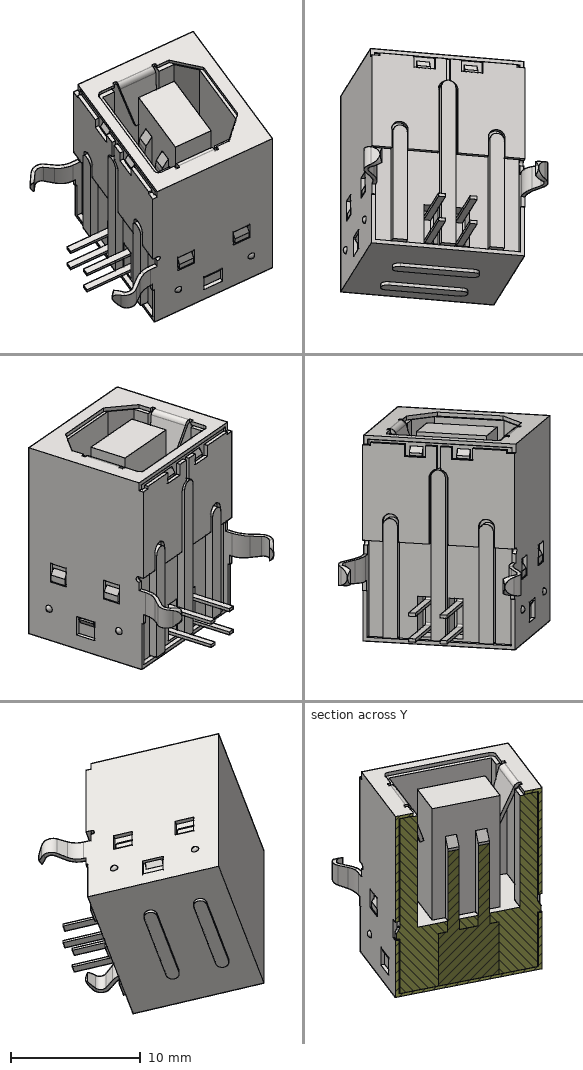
import cadquery as cq
import math


SHEET = 0.31
SHELL_WIDTH = 12.13
SHELL_HEIGHT = 16.22
PLATE_FRONT = -10.7
LID_FRONT = -10.3
FLOOR_FRONT = -10.55
WALL_FOOT_TOP = 4.03
PLATE_TOP = 15.75
PLATE_CORNER_TOP = 15.55
PLATE_CORNER_X = 5.43
PLATE_BOTTOM = 8.0
SEAM_WIDTH = 0.33
CLEAR = 1.65

SHELL_X = SHELL_WIDTH / 2
INNER_X = SHELL_X - SHEET
LID_UNDERSIDE = SHELL_HEIGHT - SHEET

CENTRE_SLOT_WIDTH = 1.52
CENTRE_SLOT_TOP = 13.96
SIDE_SLOT_WIDTH = 1.29
SIDE_SLOT_TOP = 10.21
RIB_WIDTH = 1.15
RIB_FRONT = -10.8
RIB_BOTTOM = 0.41
CENTRE_RIB_TOP = 13.93
SIDE_RIB_TOP = 9.87
SIDE_RIB_X = 3.83

PLATE_NOTCH_WIDTH = 1.68
PLATE_NOTCH_BOTTOM = 14.82
PLATE_NOTCH_X = 1.88
CATCH_WIDTH = 1.02
CATCH_BOTTOM = 14.87
CATCH_EDGE = 15.08
CATCH_TOP = 15.56
CATCH_FRONT = -10.43

TAIL_BOTTOM = 4.83
TAIL_TOP = 6.83
TAIL_ROOT = -9.9
TAIL_BEND_START = -10.89
TAIL_OUT_ANGLE = math.radians(40)
TAIL_IN_ANGLE = math.radians(54)
TAIL_OUT_RADIUS = 1.82
TAIL_OUT_LENGTH = 0.87
TAIL_IN_RADIUS = 0.87
TAIL_TIP_LENGTH = 0.78
TAIL_TIP = -14.44
TAIL_TAPER_START = -11.55
TAIL_TAPER_END = -13.76
TAIL_END_HEIGHT = 1.58
WALL_RELIEF_RADIUS = 0.23
WALL_RELIEF_Y = -10.25

OPENING_X = 4.57
OPENING_BACK = -1.09
OPENING_FRONT = -9.47
OPENING_BACK_X = 2.6
OPENING_CHAMFER_END = -3.02
OPENING_CORNER = 0.4

SPRING_X = 4.7
SPRING_BACK = -4.4
SPRING_FRONT = -7.59
SPRING_BEND_RADIUS = 0.5
SPRING_ANGLE = math.radians(70)
SPRING_TIP_X = 2.94
SPRING_TIP_BACK = -5.02
SPRING_TIP_FRONT = -6.95
SPRING_RELIEF_X = 4.83
SPRING_RELIEF = 0.3

WINDOW_WIDTH = 1.48
WINDOW_BOTTOM = 5.12
WINDOW_TOP = 6.73
WINDOW_BACKS = [-2.01, -6.96]
LOW_WINDOW_BACK = -4.47
LOW_WINDOW_WIDTH = 1.67
LOW_WINDOW_BOTTOM = 1.22
LOW_WINDOW_TOP = 2.8

DIMPLE_YS = [-1.9, -8.42]
DIMPLE_Z = 2.74
DIMPLE_RADIUS = 0.3
DIMPLE_HEIGHT = 0.21
FOOT_LENGTH = 6.86
FOOT_WIDTH = 1.04
FOOT_HEIGHT = 0.28
FOOT_YS = [-2.43, -6.42]

HOUSING_GAP = 0.05
HOUSING_X = INNER_X - HOUSING_GAP
HOUSING_TOP = LID_UNDERSIDE
HOUSING_FRONT = -10.15
CAVITY_FLOOR = 5.94
CAVITY_X = 4.22
CAVITY_BACK = -1.35
CAVITY_FRONT = -9.14
CAVITY_BACK_X = 2.77
CAVITY_CHAMFER_END = -2.8
SPRING_POCKET_X = 5.12
SPRING_POCKET_BACK = -4.12
SPRING_POCKET_FRONT = -8.12
TONGUE_WIDTH = 5.61
TONGUE_BACK = -3.58
TONGUE_FRONT = -6.76

LATCH_PROUD = 0.3
LATCH_WIDTH = 1.27
LATCH_BACK_GAP = 0.03
LATCH_BOTTOM = 5.15
LATCH_EDGE = 5.7
LATCH_TOP = 6.19
LOW_LATCH_BACK = -4.59
LOW_LATCH_WIDTH = 1.35
LOW_LATCH_BOTTOM = 2.16
LOW_LATCH_TOP = 2.6

BLOCK_X = 2.48
BLOCK_BACK = -1.98
BLOCK_FRONT = -8.58
BLOCK_TOP = 4.95
CONTACT_X = 1.25
CONTACT_SLOT_WIDTH = 1.09
CONTACT_SLOT_BOTTOM = 0.53
CONTACT_SLOT_TOP = 3.7
BLADE_WIDTH = 0.92
BLADE_DEPTH = 0.6
BLADE_TIP = 13.2
BLADE_RAMP_END = 12.38
BLADE_LIP = 0.07
BLADE_LIP_END = 11.88
PIN_WIDTH = 0.55
PIN_THICKNESS = 0.26
PIN_END = -13.91
UPPER_PIN_BOTTOM = 2.97
LOWER_PIN_BOTTOM = 0.94
PIN_BEND = 0.18


def block(x_range, y_range, z_range):
    """Box between two X, two Y and two Z values, each pair in either order."""
    lows = [min(r) for r in (x_range, y_range, z_range)]
    sizes = [abs(r[1] - r[0]) for r in (x_range, y_range, z_range)]
    return cq.Workplane("XY").box(*sizes, centered=False).translate(tuple(lows))


def mirrored_pair(shape):
    """The shape and its mirror image across X = 0."""
    return shape.union(shape.mirror("YZ"))


def round_top_bar(x, width, bottom, top, front, back):
    """Upright bar along Z with a half-round top, between two Y faces."""
    half = width / 2
    return (
        cq.Workplane("XZ", origin=(x, back, 0))
        .moveTo(-half, bottom)
        .lineTo(half, bottom)
        .lineTo(half, top - half)
        .threePointArc((0, top), (-half, top - half))
        .close()
        .extrude(back - front)
    )


def rib_bars(centre_width, side_width, centre_top, side_top, bottom, front, back):
    """One tall centre bar and two shorter side bars."""
    bars = round_top_bar(0, centre_width, bottom, centre_top, front, back)
    for x in (-SIDE_RIB_X, SIDE_RIB_X):
        bars = bars.union(round_top_bar(x, side_width, bottom, side_top, front, back))
    return bars


def eight_sided_outline(half_width, back, front, back_half_width, chamfer_end):
    """Rectangle in plan with its two back corners cut off, drawn on Z = 0."""
    return cq.Workplane("XY").polyline([
        (-half_width, front),
        (half_width, front),
        (half_width, chamfer_end),
        (back_half_width, back),
        (-back_half_width, back),
        (-half_width, chamfer_end),
    ]).close()


def lid_opening():
    opening = eight_sided_outline(
        OPENING_X, OPENING_BACK, OPENING_FRONT, OPENING_BACK_X, OPENING_CHAMFER_END
    ).extrude(SHEET + CLEAR)
    opening = opening.edges("|Z and <Y").fillet(OPENING_CORNER)
    opening = opening.translate((0, 0, LID_UNDERSIDE))
    lid_range = (LID_UNDERSIDE, SHELL_HEIGHT + CLEAR)
    opening = opening.union(block((-SPRING_X, SPRING_X), (SPRING_BACK, SPRING_FRONT), lid_range))
    for start, end in [
        (SPRING_BACK, SPRING_BACK + SPRING_RELIEF),
        (SPRING_FRONT, SPRING_FRONT - SPRING_RELIEF),
    ]:
        opening = opening.union(block((-SPRING_RELIEF_X, SPRING_RELIEF_X), (start, end), lid_range))
    return opening


def spring_finger():
    """Finger at -X: folded down from the lid, then sloping inwards and narrowing to its tip."""
    inner_radius = SPRING_BEND_RADIUS - SHEET
    bend_z = SHELL_HEIGHT - SPRING_BEND_RADIUS

    def bend_point(radius, angle):
        return (-SPRING_X + radius * math.sin(angle), bend_z + radius * math.cos(angle))

    outer_end = bend_point(SPRING_BEND_RADIUS, SPRING_ANGLE)
    fold = (
        cq.Workplane("XZ", origin=(0, SPRING_BACK, 0))
        .moveTo(-SPRING_X - SHEET, SHELL_HEIGHT)
        .lineTo(-SPRING_X, SHELL_HEIGHT)
        .threePointArc(bend_point(SPRING_BEND_RADIUS, SPRING_ANGLE / 2), outer_end)
        .lineTo(*bend_point(inner_radius, SPRING_ANGLE))
        .threePointArc(bend_point(inner_radius, SPRING_ANGLE / 2), bend_point(inner_radius, 0))
        .lineTo(-SPRING_X - SHEET, LID_UNDERSIDE)
        .close()
        .extrude(SPRING_BACK - SPRING_FRONT)
    )

    leaf_length = (-SPRING_TIP_X - outer_end[0]) / math.cos(SPRING_ANGLE)
    leaf_plane = cq.Plane(
        origin=(outer_end[0], 0, outer_end[1]),
        xDir=(math.cos(SPRING_ANGLE), 0, -math.sin(SPRING_ANGLE)),
        normal=(math.sin(SPRING_ANGLE), 0, math.cos(SPRING_ANGLE)),
    )
    leaf = cq.Workplane(leaf_plane).polyline([
        (0, SPRING_BACK),
        (leaf_length, SPRING_TIP_BACK),
        (leaf_length, SPRING_TIP_FRONT),
        (0, SPRING_FRONT),
    ]).close().extrude(-SHEET)
    return fold.union(leaf)


def tail():
    """Board-lock tail at -X: bends outwards, then back inwards, and narrows to a round tip."""
    out_centre = (-SHELL_X - TAIL_OUT_RADIUS, TAIL_BEND_START)

    def out_point(radius, angle):
        return (out_centre[0] + radius * math.cos(angle), out_centre[1] - radius * math.sin(angle))

    out_run = TAIL_OUT_LENGTH * math.sin(TAIL_OUT_ANGLE)
    out_drop = TAIL_OUT_LENGTH * math.cos(TAIL_OUT_ANGLE)
    out_end = out_point(TAIL_OUT_RADIUS, TAIL_OUT_ANGLE)
    in_centre = (
        out_end[0] - out_run + TAIL_IN_RADIUS * math.cos(TAIL_OUT_ANGLE),
        out_end[1] - out_drop - TAIL_IN_RADIUS * math.sin(TAIL_OUT_ANGLE),
    )

    def in_point(radius, angle):
        return (in_centre[0] - radius * math.cos(angle), in_centre[1] - radius * math.sin(angle))

    def tip_point(radius):
        x, y = in_point(radius, TAIL_IN_ANGLE)
        return (
            x + TAIL_TIP_LENGTH * math.sin(TAIL_IN_ANGLE),
            y - TAIL_TIP_LENGTH * math.cos(TAIL_IN_ANGLE),
        )

    out_inner = TAIL_OUT_RADIUS + SHEET
    in_inner = TAIL_IN_RADIUS - SHEET
    strip = (
        cq.Workplane("XY", origin=(0, 0, TAIL_BOTTOM))
        .moveTo(-SHELL_X, TAIL_ROOT)
        .lineTo(-SHELL_X, TAIL_BEND_START)
        .threePointArc(out_point(TAIL_OUT_RADIUS, TAIL_OUT_ANGLE / 2), out_end)
        .lineTo(*in_point(TAIL_IN_RADIUS, -TAIL_OUT_ANGLE))
        .threePointArc(in_point(TAIL_IN_RADIUS, 0), in_point(TAIL_IN_RADIUS, TAIL_IN_ANGLE))
        .lineTo(*tip_point(TAIL_IN_RADIUS))
        .lineTo(*tip_point(in_inner))
        .lineTo(*in_point(in_inner, TAIL_IN_ANGLE))
        .threePointArc(in_point(in_inner, 0), in_point(in_inner, -TAIL_OUT_ANGLE))
        .lineTo(*out_point(out_inner, TAIL_OUT_ANGLE))
        .threePointArc(out_point(out_inner, TAIL_OUT_ANGLE / 2), out_point(out_inner, 0))
        .lineTo(-INNER_X, TAIL_ROOT)
        .close()
        .extrude(TAIL_TOP - TAIL_BOTTOM)
    )
    middle = (TAIL_TOP + TAIL_BOTTOM) / 2
    end_half = TAIL_END_HEIGHT / 2
    side_outline = (
        cq.Workplane("YZ", origin=(-SHELL_WIDTH, 0, 0))
        .moveTo(TAIL_ROOT, TAIL_BOTTOM)
        .lineTo(TAIL_TAPER_START, TAIL_BOTTOM)
        .lineTo(TAIL_TAPER_END, middle - end_half)
        .threePointArc((TAIL_TIP, middle), (TAIL_TAPER_END, middle + end_half))
        .lineTo(TAIL_TAPER_START, TAIL_TOP)
        .lineTo(TAIL_ROOT, TAIL_TOP)
        .close()
        .extrude(SHELL_WIDTH)
    )
    return strip.intersect(side_outline)


def dimple(y):
    """Ball at the -X wall whose cap stands out of it."""
    radius = (DIMPLE_RADIUS**2 + DIMPLE_HEIGHT**2) / (2 * DIMPLE_HEIGHT)
    return cq.Workplane("XY").sphere(radius).translate((-SHELL_X - DIMPLE_HEIGHT + radius, y, DIMPLE_Z))


def make_shell():
    across = (-SHELL_X - CLEAR, SHELL_X + CLEAR)
    beyond = PLATE_FRONT - CLEAR
    above = SHELL_HEIGHT + CLEAR
    shell = block((-SHELL_X, SHELL_X), (0, PLATE_FRONT), (0, SHELL_HEIGHT))
    for y in DIMPLE_YS:
        shell = shell.union(mirrored_pair(dimple(y)))

    inside_x = (-INNER_X, INNER_X)
    shell = shell.cut(block(inside_x, (-SHEET, PLATE_FRONT + SHEET), (SHEET, LID_UNDERSIDE)))
    shell = shell.cut(block(inside_x, (-SHEET, beyond), (SHEET, PLATE_BOTTOM)))

    shell = shell.cut(block(across, (LID_FRONT, beyond), (PLATE_TOP, above)))
    corner = block((-PLATE_CORNER_X, across[0]), (LID_FRONT, beyond), (PLATE_CORNER_TOP, above))
    shell = shell.cut(mirrored_pair(corner))
    shell = shell.cut(block(across, (FLOOR_FRONT, beyond), (-CLEAR, WALL_FOOT_TOP)))

    shell = shell.cut(block(across, (LID_FRONT, beyond), (TAIL_TOP, PLATE_BOTTOM)))
    relief = (
        cq.Workplane("YZ", origin=(across[0], 0, 0))
        .center(WALL_RELIEF_Y, PLATE_BOTTOM - WALL_RELIEF_RADIUS)
        .circle(WALL_RELIEF_RADIUS)
        .extrude(across[1] - across[0])
    )
    shell = shell.cut(relief)

    plate_back = PLATE_FRONT + SHEET
    shell = shell.cut(rib_bars(
        CENTRE_SLOT_WIDTH, SIDE_SLOT_WIDTH, CENTRE_SLOT_TOP, SIDE_SLOT_TOP, PLATE_BOTTOM, beyond, plate_back
    ))
    seam_base = CENTRE_SLOT_TOP - CENTRE_SLOT_WIDTH / 2
    shell = shell.cut(
        block((-SEAM_WIDTH / 2, SEAM_WIDTH / 2), (plate_back, beyond), (seam_base, PLATE_TOP))
    )
    notch = block(
        (-PLATE_NOTCH_WIDTH / 2, PLATE_NOTCH_WIDTH / 2),
        (plate_back, beyond),
        (PLATE_NOTCH_BOTTOM, PLATE_TOP),
    ).translate((-PLATE_NOTCH_X, 0, 0))
    shell = shell.cut(mirrored_pair(notch))

    for back in WINDOW_BACKS:
        shell = shell.cut(block(across, (back, back - WINDOW_WIDTH), (WINDOW_BOTTOM, WINDOW_TOP)))
    low_window_y = (LOW_WINDOW_BACK, LOW_WINDOW_BACK - LOW_WINDOW_WIDTH)
    shell = shell.cut(block(across, low_window_y, (LOW_WINDOW_BOTTOM, LOW_WINDOW_TOP)))

    shell = shell.cut(lid_opening())
    shell = shell.union(mirrored_pair(spring_finger()))
    shell = shell.union(mirrored_pair(tail()))
    for y in FOOT_YS:
        foot = cq.Workplane("XY").center(0, y).slot2D(FOOT_LENGTH, FOOT_WIDTH).extrude(-FOOT_HEIGHT)
        shell = shell.union(foot)
    return shell


def side_latch(outline, back, width):
    """Latch on the -X side: an outline of (height proud, Z) points, extruded along Y."""
    points = [(-HOUSING_X - proud, z) for proud, z in outline]
    return cq.Workplane("XZ", origin=(0, back, 0)).polyline(points).close().extrude(width)


def housing_latches():
    upper = [(0, LATCH_BOTTOM), (LATCH_PROUD, LATCH_BOTTOM), (LATCH_PROUD, LATCH_EDGE), (0, LATCH_TOP)]
    low = [(0, LOW_LATCH_BOTTOM), (LATCH_PROUD, LOW_LATCH_TOP), (0, LOW_LATCH_TOP)]
    latches = side_latch(low, LOW_LATCH_BACK, LOW_LATCH_WIDTH)
    for back in WINDOW_BACKS:
        latches = latches.union(side_latch(upper, back - LATCH_BACK_GAP, LATCH_WIDTH))
    return mirrored_pair(latches)


def front_catch():
    """Wedge on the housing front that stands in the notch of the front plate at -X."""
    return (
        cq.Workplane("YZ", origin=(-PLATE_NOTCH_X - CATCH_WIDTH / 2, 0, 0))
        .polyline([
            (HOUSING_FRONT, CATCH_BOTTOM),
            (CATCH_FRONT, CATCH_BOTTOM),
            (CATCH_FRONT, CATCH_EDGE),
            (HOUSING_FRONT, CATCH_TOP),
        ])
        .close()
        .extrude(CATCH_WIDTH)
    )


def make_housing():
    housing = block((-HOUSING_X, HOUSING_X), (-SHEET, HOUSING_FRONT), (SHEET, HOUSING_TOP))

    cavity = eight_sided_outline(
        CAVITY_X, CAVITY_BACK, CAVITY_FRONT, CAVITY_BACK_X, CAVITY_CHAMFER_END
    ).extrude(HOUSING_TOP - CAVITY_FLOOR).translate((0, 0, CAVITY_FLOOR))
    cavity = cavity.union(block(
        (-SPRING_POCKET_X, SPRING_POCKET_X),
        (SPRING_POCKET_BACK, SPRING_POCKET_FRONT),
        (CAVITY_FLOOR, HOUSING_TOP),
    ))
    housing = housing.cut(cavity)
    tongue_x = (-TONGUE_WIDTH / 2, TONGUE_WIDTH / 2)
    housing = housing.union(block(tongue_x, (TONGUE_BACK, TONGUE_FRONT), (BLOCK_TOP, HOUSING_TOP)))

    housing = housing.cut(block((-BLOCK_X, BLOCK_X), (BLOCK_BACK, BLOCK_FRONT), (SHEET, BLOCK_TOP)))
    blade_x = (CONTACT_X - BLADE_WIDTH / 2, CONTACT_X + BLADE_WIDTH / 2)
    for face, outer in [
        (TONGUE_BACK, TONGUE_BACK + BLADE_DEPTH),
        (TONGUE_FRONT, TONGUE_FRONT - BLADE_DEPTH),
    ]:
        housing = housing.cut(mirrored_pair(block(blade_x, (face, outer), (BLOCK_TOP, CAVITY_FLOOR))))
    slot_x = (CONTACT_X - CONTACT_SLOT_WIDTH / 2, CONTACT_X + CONTACT_SLOT_WIDTH / 2)
    pin_slot = block(slot_x, (BLOCK_FRONT, HOUSING_FRONT), (CONTACT_SLOT_BOTTOM, CONTACT_SLOT_TOP))
    housing = housing.cut(mirrored_pair(pin_slot))

    housing = housing.union(rib_bars(
        RIB_WIDTH, RIB_WIDTH, CENTRE_RIB_TOP, SIDE_RIB_TOP, RIB_BOTTOM, RIB_FRONT, HOUSING_FRONT
    ))
    housing = housing.union(mirrored_pair(front_catch()))
    return housing.union(housing_latches())


def contact_blade(face, outward):
    """Upright blade against a tongue face, its ramped tip leaning away from the tongue."""
    outer = face + outward * BLADE_DEPTH
    return (
        cq.Workplane("YZ", origin=(CONTACT_X - BLADE_WIDTH / 2, 0, 0))
        .polyline([
            (face, BLOCK_TOP),
            (outer, BLOCK_TOP),
            (outer, BLADE_LIP_END),
            (outer - outward * BLADE_LIP, BLADE_RAMP_END),
            (face, BLADE_TIP),
        ])
        .close()
        .extrude(BLADE_WIDTH)
    )


def contact_pin(bottom, leg_top):
    """L-shaped pin: a leg on the front of the block, bent forward into a straight pin."""
    pin_top = bottom + PIN_THICKNESS
    leg_front = BLOCK_FRONT - PIN_THICKNESS
    return (
        cq.Workplane("YZ", origin=(CONTACT_X - PIN_WIDTH / 2, 0, 0))
        .moveTo(BLOCK_FRONT, bottom)
        .lineTo(PIN_END, bottom)
        .lineTo(PIN_END, pin_top)
        .lineTo(leg_front - PIN_BEND, pin_top)
        .radiusArc((leg_front, pin_top + PIN_BEND), -PIN_BEND)
        .lineTo(leg_front, leg_top)
        .lineTo(BLOCK_FRONT, leg_top)
        .close()
        .extrude(PIN_WIDTH)
    )


def make_contact_block():
    body = block((-BLOCK_X, BLOCK_X), (BLOCK_BACK, BLOCK_FRONT), (SHEET, BLOCK_TOP))
    contacts = [
        contact_blade(TONGUE_BACK, 1),
        contact_blade(TONGUE_FRONT, -1),
        contact_pin(UPPER_PIN_BOTTOM, CONTACT_SLOT_TOP),
        contact_pin(LOWER_PIN_BOTTOM, UPPER_PIN_BOTTOM),
    ]
    for contact in contacts:
        body = body.union(mirrored_pair(contact))
    return body


shell = make_shell()
housing = make_housing()
contact_block = make_contact_block()

result = cq.Compound.makeCompound([
    shell.solids().val(),
    housing.solids().val(),
    contact_block.solids().val(),
])